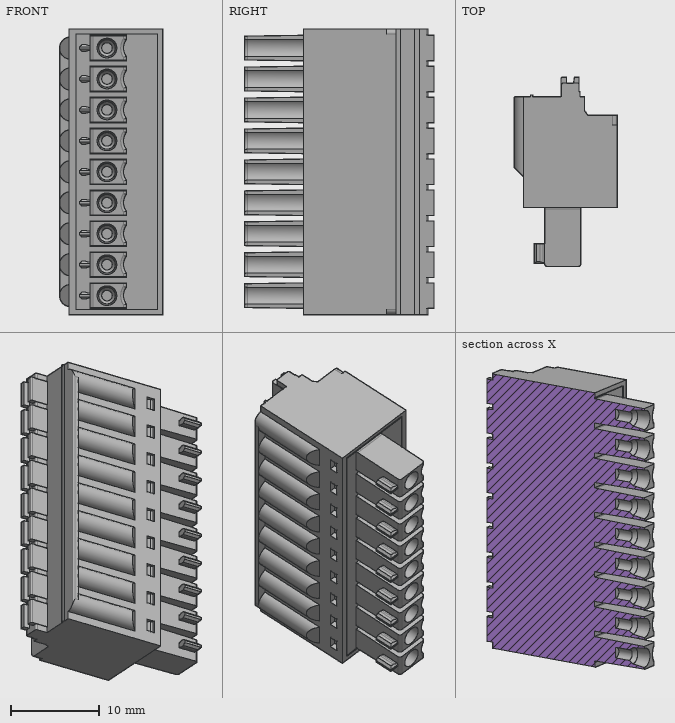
import cadquery as cq

height = 32.3
pole_count = 9
first_pole_z = 2.15
last_pole_z = height - first_pole_z
pitch = (last_pole_z - first_pole_z) / (pole_count - 1)
pole_heights = [first_pole_z + pole * pitch for pole in range(pole_count)]

total_length = 21.4
body_left = 1.05
body_right = 11.7
body_front = 6.65
body_rear = 19.22
shelf_rear = 17.12
shelf_left = 8.33
shelf_chamfer_x = 0.35
shelf_chamfer_y = 0.52
tail_left = 5.35
tail_right = 7.35
tail_rear = 20.75
tail_step_right = 7.45
tail_step_rear = 19.77
tail_corner_radius = 0.2

recess_left = 1.85
recess_right = 11.05
recess_margin_z = 0.58
recess_depth = 0.1

rib_left = 1.85
rib_width = 0.3
rib_height = 0.2
corner_radius = 0.58
corner_length = 1.1

boss_radius = 1.25
boss_front = 11.2
rear_wall_thickness = 0.68
rear_edge_radius = 0.23

window_rear = 8.5
window_width = 0.97
window_height = 1.42
window_slot_width = 0.25
window_slot_depth = 0.7
window_ramp_width = 0.4
window_floor_depth = 0.3

block_left = 3.45
block_right = 7.55
block_height = 2.9
block_tip_height = 2.7
block_straight_length = 0.15
block_edge_radius = 0.32
groove_diameter = 3.07
groove_depth = 0.32

socket_x = 5.35
socket_mouth_diameter = 2.23
socket_bottom_diameter = 1.87
socket_depth = 1.55
contact_diameter = 1.2
contact_cone_depth = 0.52
contact_depth = 3.88

peg_left = 2.25
peg_front = 0.32
peg_rear = 2.6
peg_tip_half_height = 0.13
peg_head_half_height = 0.4
peg_neck_half_height = 0.3
peg_head_start = 2.55
peg_head_end = 2.95
peg_neck_start = 3.25
peg_bevel_length = 0.23

lug_left = 5.3
lug_height = 2.9
lug_notch_left = 5.95
lug_notch_right = 6.72
lug_notch_top_right = 6.8
lug_corner_radius = 0.2


def box(x0, x1, y0, y1, z0, z1):
    """Axis-aligned block between two opposite corners."""
    return cq.Workplane("XY").box(x1 - x0, y1 - y0, z1 - z0, centered=False).translate((x0, y0, z0))


def make_housing():
    """Stepped body with its rear tail and rib, and the shallow recess in its front face."""
    outline = [
        (body_left, body_front),
        (body_right, body_front),
        (body_right, shelf_rear),
        (shelf_left, shelf_rear),
        (shelf_left - shelf_chamfer_x, shelf_rear + shelf_chamfer_y),
        (shelf_left - shelf_chamfer_x, body_rear),
        (body_left, body_rear),
    ]
    housing = cq.Workplane("XY").polyline(outline).close().extrude(height)
    tail = box(tail_left, tail_right, shelf_rear, tail_rear, 0, height)
    tail = tail.edges("|Z and >Y").fillet(tail_corner_radius)
    tail_step = box(tail_left, tail_step_right, shelf_rear, tail_step_rear, 0, height)
    recess = box(recess_left, recess_right, body_front, body_front + recess_depth,
                 recess_margin_z, height - recess_margin_z)
    rib = box(rib_left, rib_left + rib_width, shelf_rear, body_rear + rib_height, 0, height)
    return housing.union(tail).union(tail_step).union(rib).cut(recess)


def make_corner_cut():
    """Rounded relief of the two right-hand corners at the rear of the shelf."""
    blank = box(body_left, body_right, shelf_rear - corner_length, shelf_rear, 0, height)
    return blank.cut(blank.edges("|Y and >X").fillet(corner_radius))


def make_bosses():
    """Row of round bosses standing out of the left side, with the wall that joins their rear ends."""
    bosses = box(0, body_left, body_rear - rear_wall_thickness, body_rear, first_pole_z, last_pole_z)
    for z in pole_heights:
        boss = (
            cq.Workplane("XZ", origin=(boss_radius, body_rear, z))
            .circle(boss_radius)
            .extrude(body_rear - boss_front + body_left)
        )
        bosses = bosses.union(boss)
    envelope = (
        cq.Workplane("XY")
        .moveTo(0, body_rear - rear_edge_radius)
        .lineTo(0, boss_front)
        .lineTo(body_left, boss_front - body_left)
        .lineTo(body_left, body_rear)
        .lineTo(rear_edge_radius, body_rear)
        .radiusArc((0, body_rear - rear_edge_radius), -rear_edge_radius)
        .close()
        .extrude(height)
    )
    return bosses.intersect(envelope)


def make_window(z):
    """Side window with a deep slot at its rear and a ramp up to a shallow floor at its front."""
    ramp_rear = window_rear - window_slot_width
    ramp_front = ramp_rear - window_ramp_width
    profile = [
        (body_left, window_rear),
        (body_left + window_slot_depth, window_rear),
        (body_left + window_slot_depth, ramp_rear),
        (body_left + window_floor_depth, ramp_front),
        (body_left + window_floor_depth, window_rear - window_width),
        (body_left, window_rear - window_width),
    ]
    bottom = z - window_height / 2
    return cq.Workplane("XY", origin=(0, 0, bottom)).polyline(profile).close().extrude(window_height)


def make_block(z):
    """Plug block tapering towards its tip, with a shallow groove along its right side."""
    taper_start = body_front - block_straight_length
    side = [
        (0, -block_tip_height / 2),
        (taper_start, -block_height / 2),
        (shelf_rear, -block_height / 2),
        (shelf_rear, block_height / 2),
        (taper_start, block_height / 2),
        (0, block_tip_height / 2),
    ]
    block = (
        cq.Workplane("YZ", origin=(block_left, 0, z))
        .polyline(side).close()
        .extrude(block_right - block_left)
    )
    groove_end = body_front + recess_depth
    groove = (
        cq.Workplane("XZ", origin=(block_right - groove_depth + groove_diameter / 2, 0, z))
        .circle(groove_diameter / 2)
        .extrude(-groove_end)
    )
    block = block.cut(groove)
    return block.faces("<Y").edges("not(|X)").fillet(block_edge_radius)


def make_socket(z):
    """Slightly tapered socket that necks down through a cone to a blind contact hole."""
    contact_radius = contact_diameter / 2
    half_section = [
        (0, 0),
        (socket_mouth_diameter / 2, 0),
        (socket_bottom_diameter / 2, socket_depth),
        (contact_radius, socket_depth + contact_cone_depth),
        (contact_radius, contact_depth),
        (0, contact_depth),
    ]
    return (
        cq.Workplane("XY", origin=(socket_x, 0, z))
        .polyline(half_section).close()
        .revolve(360, (0, 0), (0, 1))
    )


def symmetric_outline(plane, origin, upper):
    """Closed outline on a plane, mirrored about the horizontal axis from its upper half."""
    lower = [(along, -half) for along, half in reversed(upper)]
    return cq.Workplane(plane, origin=origin).polyline(upper + lower).close()


def make_peg(z):
    """Coding peg with a swollen head on a narrower neck, bevelled at its front end."""
    plan = [
        (peg_left, peg_tip_half_height),
        (peg_head_start, peg_head_half_height),
        (peg_head_end, peg_head_half_height),
        (peg_neck_start, peg_neck_half_height),
        (block_left, peg_neck_half_height),
    ]
    side = [
        (peg_front, peg_tip_half_height),
        (peg_front + peg_bevel_length, peg_head_half_height),
        (peg_rear, peg_head_half_height),
    ]
    head = symmetric_outline("XZ", (0, peg_rear, z), plan).extrude(peg_rear - peg_front)
    bevel = symmetric_outline("YZ", (peg_left, 0, z), side).extrude(block_left - peg_left)
    return head.intersect(bevel)


def make_lug(z):
    """Rear lug with an open notch between its two prongs."""
    lug = box(lug_left, tail_right, body_rear, total_length, z - lug_height / 2, z + lug_height / 2)
    lug = lug.edges("|Z and >Y and <X").fillet(lug_corner_radius)
    notch = [
        (lug_notch_left, tail_rear),
        (lug_notch_right, tail_rear),
        (lug_notch_top_right, total_length),
        (lug_notch_left, total_length),
    ]
    return lug.cut(cq.Workplane("XY").polyline(notch).close().extrude(height))


result = make_housing().cut(make_corner_cut()).union(make_bosses())
for pole_z in pole_heights:
    result = result.cut(make_window(pole_z))
    result = result.union(make_block(pole_z))
    result = result.cut(make_socket(pole_z))
    result = result.union(make_peg(pole_z))
    result = result.union(make_lug(pole_z))